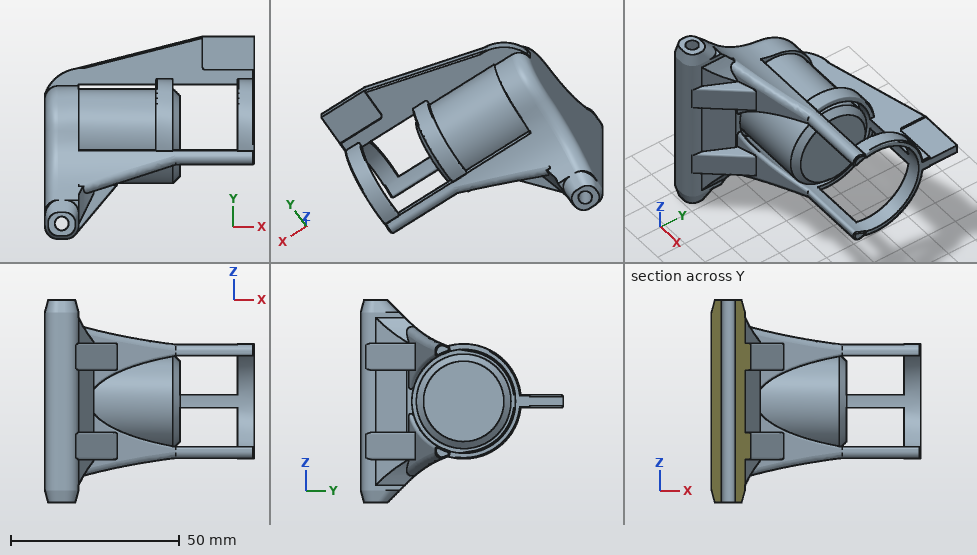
import cadquery as cq
import math

LENGTH = 62.0
HALF_HEIGHT = 30.0
Y_BOTTOM = -30.5
Y_TOP = 29.5

PLATE_THICKNESS = 10.05
PLATE_HEAD_RADIUS = 15.0
PLATE_ROUND = 3.95
HEAD_TANGENT_ANGLE = 6.4
SHOULDER_ANGLE = 45.0
CAP_Z = 26.35
CAP_TOP_Y = -22.55
CAP_INSET = 1.0
CAP_TOP_ROUND = 3.1
HINGE_HOLE_DIAMETER = 4.0
HINGE_X = PLATE_THICKNESS / 2
HINGE_Y = -25.85

BARREL_DIAMETER = 28.0
BARREL_END_X = 40.05
BARREL_CHAMFER = 2.1

BORE_DIAMETER = 30.7
RING_DIAMETER = 34.1
RING_WIDTH = 5.0
RING_STARTS = (32.9, LENGTH - RING_WIDTH)
RING_EDGE_ROUND = 0.4

ARM_TOP_ANGLE = 15.0
ARM_BOTTOM_Y = -8.45
ARM_START_X = 38.8
CRADLE_KNEE_X = 16.75
CRADLE_KNEE_Y = -15.55
ARM_INNER_ROUND = 0.8
ARM_OUTER_ROUND = 2.0

FOOT_TOP_Y = -14.9
FOOT_BOTTOM_Y = -26.05
FOOT_END_X = 14.6
FOOT_END_Y = -16.8
FOOT_ROOT_Z = 24.8
FOOT_WAIST_X = 11.6
FOOT_WAIST_Z = 21.8
FOOT_END_Z = 17.5

GUSSET_THICKNESS = 8.05
GUSSET_CENTRE_Z = 13.2
GUSSET_FOOT_X = 9.2
GUSSET_FOOT_Y = -29.0
GUSSET_TIP_X = 21.45
GUSSET_TIP_Y = -14.4
GUSSET_ROUND = 0.6

RIB_THICKNESS = 3.9
RIB_ARC_POINT = (3.3, 17.25)
RIB_CORNER_Y = 12.4
RIB_SHOULDER_X = 9.3
RIB_SHOULDER_Y = 20.0
RIB_FLAT_X = 46.6
RIB_CHAMFER = 0.5

RECESS_HEIGHT = 9.9
RECESS_WEB = 2.7
RECESS_CORNER_ROUND = 1.0

END_CHAMFER = 0.4

OVERLAP = 1.25

PICK_MARGIN = 0.05


def bell_prism(start_x, end_x):
    """Prism along X with the bell-shaped outline: round head, hollow flanks, straight flared skirt.

    The flank radius follows from the skirt line, which meets the top of the hinge cap.
    """
    angle = math.radians(HEAD_TANGENT_ANGLE)
    tangent_y = PLATE_HEAD_RADIUS * math.sin(angle)
    tangent_z = PLATE_HEAD_RADIUS * math.cos(angle)
    slope = math.radians(SHOULDER_ANGLE)
    sine_gap = math.sin(slope) - math.sin(angle)
    cosine_gap = math.cos(angle) - math.cos(slope)
    flank_radius = (tangent_y + tangent_z - CAP_TOP_Y - HALF_HEIGHT) / (sine_gap - cosine_gap)
    shoulder_y = tangent_y - flank_radius * sine_gap
    shoulder_z = tangent_z + flank_radius * cosine_gap
    skirt_y = Y_BOTTOM - PLATE_THICKNESS
    half_angle = (math.pi / 2 - angle) / 2
    upper_half = (
        cq.Workplane("YZ", origin=(start_x, 0, 0))
        .moveTo(PLATE_HEAD_RADIUS, 0)
        .threePointArc(
            (PLATE_HEAD_RADIUS * math.cos(half_angle), PLATE_HEAD_RADIUS * math.sin(half_angle)),
            (tangent_y, tangent_z),
        )
        .tangentArcPoint((shoulder_y, shoulder_z), relative=False)
        .lineTo(skirt_y, shoulder_z + shoulder_y - skirt_y)
        .lineTo(skirt_y, 0)
    )
    return upper_half.mirrorX().extrude(end_x - start_x)


def x_cylinder(diameter, start_x, end_x):
    """Cylinder on the barrel axis."""
    return cq.Workplane("YZ", origin=(start_x, 0, 0)).circle(diameter / 2).extrude(end_x - start_x)


def z_prism(points, thickness, centre_z=0):
    """Prism along Z over a polygon in XY, centred on the given height."""
    return (
        cq.Workplane("XY", origin=(0, 0, centre_z))
        .polyline(points)
        .close()
        .extrude(thickness / 2, both=True)
    )


def hinge_cap():
    """Tapered upper end of the hinge rod, from a wide base to a smaller flat top."""
    base_y = CAP_TOP_Y + (HALF_HEIGHT - CAP_Z) / math.tan(math.radians(SHOULDER_ANGLE))
    base_depth = base_y - Y_BOTTOM
    top_depth = CAP_TOP_Y - Y_BOTTOM - CAP_INSET
    base = cq.Sketch().rect(PLATE_THICKNESS, base_depth).vertices().fillet(PLATE_ROUND)
    top = (
        cq.Sketch()
        .rect(PLATE_THICKNESS - 2 * CAP_INSET, top_depth)
        .vertices()
        .fillet(CAP_TOP_ROUND)
    )
    top_shift = (CAP_TOP_Y + CAP_INSET - base_y) / 2
    top_place = cq.Location(cq.Vector(0, top_shift, HALF_HEIGHT - CAP_Z))
    return (
        cq.Workplane("XY", origin=(PLATE_THICKNESS / 2, (base_y + Y_BOTTOM) / 2, CAP_Z))
        .placeSketch(base, top.moved(top_place))
        .loft()
    )


def end_plate():
    """Plate with a rounded outer rim, a rounded lower edge and a tapered cap at each end."""
    plate = bell_prism(0, PLATE_THICKNESS).faces("<X").edges("not <Y").fillet(PLATE_ROUND)
    rod_limits = (
        cq.Workplane("XY")
        .box(PLATE_THICKNESS, Y_TOP - Y_BOTTOM, 2 * CAP_Z)
        .edges("|Z and <Y")
        .fillet(PLATE_ROUND)
        .translate((PLATE_THICKNESS / 2, (Y_TOP + Y_BOTTOM) / 2, 0))
    )
    plate = plate.intersect(rod_limits)
    cap = hinge_cap()
    return plate.union(cap).union(cap.mirror("XY"))


def barrel():
    """Plain cylinder with a chamfered free end."""
    body = x_cylinder(BARREL_DIAMETER, PLATE_THICKNESS - OVERLAP, BARREL_END_X)
    return body.faces(">X").chamfer(BARREL_CHAMFER)


def cradle():
    """Wall under the barrel with the bell outline, cut away below by a slope that ends in two arms."""
    knee_slope = (ARM_BOTTOM_Y - CRADLE_KNEE_Y) / (ARM_START_X - CRADLE_KNEE_X)
    root_x = PLATE_THICKNESS - OVERLAP
    root_y = CRADLE_KNEE_Y - knee_slope * (CRADLE_KNEE_X - root_x)
    side = z_prism(
        [
            (root_x, 0),
            (root_x, root_y),
            (ARM_START_X, ARM_BOTTOM_Y),
            (LENGTH, ARM_BOTTOM_Y),
            (LENGTH, 0),
        ],
        2 * LENGTH,
    )
    wall = bell_prism(root_x, LENGTH).intersect(side).cut(above_arms())

    bore_radius = BORE_DIAMETER / 2
    arm_inner_z = math.sqrt(bore_radius**2 - ARM_BOTTOM_Y**2)
    end_x = LENGTH - PICK_MARGIN
    top_y = ARM_BOTTOM_Y + PICK_MARGIN
    upper_edges = cq.selectors.BoxSelector(
        (PLATE_THICKNESS, root_y, bore_radius), (end_x, top_y, HALF_HEIGHT)
    )
    lower_edges = cq.selectors.BoxSelector(
        (PLATE_THICKNESS, root_y, -HALF_HEIGHT), (end_x, top_y, -bore_radius)
    )
    wall = wall.edges(upper_edges + lower_edges).fillet(ARM_OUTER_ROUND)
    wall = wall.cut(x_cylinder(BORE_DIAMETER, root_x, LENGTH))
    bore_z = arm_inner_z + PICK_MARGIN
    bore_edges = cq.selectors.BoxSelector(
        (PLATE_THICKNESS, root_y, -bore_z), (end_x, top_y, bore_z)
    )
    wall = wall.edges(bore_edges).fillet(ARM_INNER_ROUND)
    return wall.faces(">X").chamfer(END_CHAMFER)


def cradle_foot():
    """Steep wedge between the plate and the cradle, narrowing in Z away from the plate."""
    root_x = PLATE_THICKNESS - OVERLAP
    side = z_prism(
        [
            (root_x, FOOT_TOP_Y),
            (root_x, FOOT_BOTTOM_Y),
            (PLATE_THICKNESS, FOOT_BOTTOM_Y),
            (FOOT_END_X, FOOT_END_Y),
            (FOOT_END_X, FOOT_TOP_Y),
        ],
        2 * HALF_HEIGHT,
    )
    plan = (
        cq.Workplane("XZ")
        .moveTo(root_x, 0)
        .lineTo(root_x, FOOT_ROOT_Z)
        .lineTo(PLATE_THICKNESS, FOOT_ROOT_Z)
        .threePointArc((FOOT_WAIST_X, FOOT_WAIST_Z), (FOOT_END_X, FOOT_END_Z))
        .lineTo(FOOT_END_X, 0)
        .mirrorX()
        .extrude(-Y_BOTTOM)
    )
    return bell_prism(root_x, FOOT_END_X).intersect(side).intersect(plan)


def above_arms():
    """Space above the two radial planes that form the top faces of the arms."""
    drop = LENGTH * math.tan(math.radians(ARM_TOP_ANGLE))
    return (
        cq.Workplane("YZ", origin=(PLATE_THICKNESS, 0, 0))
        .polyline([(0, 0), (-drop, LENGTH), (LENGTH, LENGTH), (LENGTH, -LENGTH), (-drop, -LENGTH)])
        .close()
        .extrude(LENGTH)
    )


def rings():
    """Two partial rings that tie the arms to the rib."""
    pair = cq.Workplane("XY")
    for start_x in RING_STARTS:
        ring = x_cylinder(RING_DIAMETER, start_x, start_x + RING_WIDTH)
        ring = ring.edges().fillet(RING_EDGE_ROUND).intersect(above_arms())
        pair = pair.union(ring)
    return pair


def rib():
    """Flat rib from the plate to the free end, reaching in past the bore that later trims it."""
    root_y = PLATE_HEAD_RADIUS - PLATE_ROUND
    body = (
        cq.Workplane("XY")
        .moveTo(0, RIB_CORNER_Y)
        .threePointArc(RIB_ARC_POINT, (RIB_SHOULDER_X, RIB_SHOULDER_Y))
        .lineTo(RIB_FLAT_X, Y_TOP)
        .lineTo(LENGTH, Y_TOP)
        .lineTo(LENGTH, 0)
        .lineTo(PLATE_THICKNESS, 0)
        .lineTo(PLATE_THICKNESS, root_y)
        .lineTo(0, root_y)
        .close()
        .extrude(RIB_THICKNESS / 2, both=True)
    )
    slope_edges = cq.selectors.BoxSelector(
        (RIB_SHOULDER_X, RIB_SHOULDER_Y, -RIB_THICKNESS),
        (LENGTH - PICK_MARGIN, Y_TOP + PICK_MARGIN, RIB_THICKNESS),
    )
    body = body.edges(slope_edges).edges("not |Z").chamfer(RIB_CHAMFER)
    body = body.faces(">X").edges("|Y").chamfer(END_CHAMFER)
    recess_thickness = (RIB_THICKNESS - RECESS_WEB) / 2
    recess = (
        cq.Workplane("XY")
        .box(LENGTH - RIB_FLAT_X, RECESS_HEIGHT, recess_thickness)
        .edges("|Z and <X and <Y")
        .fillet(RECESS_CORNER_ROUND)
        .translate(
            (
                (LENGTH + RIB_FLAT_X) / 2,
                Y_TOP - RECESS_HEIGHT / 2,
                (RIB_THICKNESS - recess_thickness) / 2,
            )
        )
    )
    return body.cut(recess).cut(recess.mirror("XY"))


def gussets():
    """Two triangular ribs with rounded sloping edges."""
    pair = cq.Workplane("XY")
    for centre_z in (-GUSSET_CENTRE_Z, GUSSET_CENTRE_Z):
        gusset = z_prism(
            [
                (GUSSET_FOOT_X, GUSSET_FOOT_Y),
                (GUSSET_TIP_X, GUSSET_TIP_Y),
                (GUSSET_FOOT_X, GUSSET_TIP_Y),
            ],
            GUSSET_THICKNESS,
            centre_z,
        )
        gusset = gusset.edges("not (|X or |Y or |Z)").fillet(GUSSET_ROUND)
        pair = pair.union(gusset)
    return pair


surround = cradle().union(cradle_foot()).union(gussets()).union(rib()).union(rings())
surround = surround.cut(x_cylinder(BORE_DIAMETER, PLATE_THICKNESS, LENGTH))
hinge_hole = (
    cq.Workplane("XY", origin=(HINGE_X, HINGE_Y, -HALF_HEIGHT))
    .circle(HINGE_HOLE_DIAMETER / 2)
    .extrude(2 * HALF_HEIGHT)
)
result = end_plate().union(surround).union(barrel()).cut(hinge_hole)